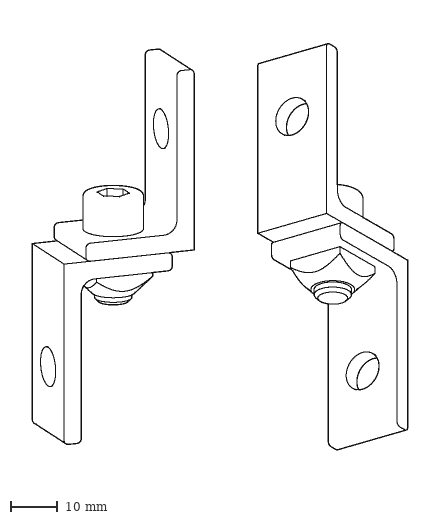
import cadquery as cq
import math

bracket_width = 18.0
bracket_height = 40.0
plate_thickness = 4.0
overall_depth = 30.0
foot_length = 25.0
inner_radius = 3.0
edge_radius = 1.0
leg_hole_diameter = 8.6
leg_hole_from_end = 15.0

shank_diameter = 8.0
shank_end_depth = 12.0
shank_chamfer = 0.8
head_diameter = 13.0
head_height = 8.0
head_edge_radius = 0.8
socket_across_flats = 6.0
socket_depth = 4.0
socket_cone_angle = 120.0

nut_across_flats = head_diameter
nut_height = 6.0
nut_end_diameter = 9.4
nut_bevel_angle = 45.0


def make_bracket():
    """Upper bracket: foot on Z = 0, leg rising along the +Y side."""
    back = overall_depth / 2
    leg_front = back - plate_thickness
    foot_end = back - foot_length
    profile = [
        (back, 0),
        (back, bracket_height),
        (leg_front, bracket_height),
        (leg_front, plate_thickness),
        (foot_end, plate_thickness),
        (foot_end, 0),
    ]
    body = (
        cq.Workplane("YZ")
        .polyline(profile)
        .close()
        .extrude(bracket_width / 2, both=True)
    )
    inner_corner = cq.selectors.NearestToPointSelector((0, leg_front, plate_thickness))
    body = body.edges(inner_corner).fillet(inner_radius)
    body = body.faces(">Z").edges("|X").fillet(edge_radius)
    body = body.faces("<Y").edges("|X").fillet(edge_radius)

    leg_hole = (
        cq.Workplane("XZ", origin=(0, back, bracket_height - leg_hole_from_end))
        .circle(leg_hole_diameter / 2)
        .extrude(plate_thickness)
    )
    bolt_hole = cq.Workplane("XY").circle(shank_diameter / 2).extrude(plate_thickness)
    return body.cut(leg_hole).cut(bolt_hole)


def make_bolt():
    """Cylinder head with a hexagon socket, and a plain chamfered shank."""
    head = (
        cq.Workplane("XY", origin=(0, 0, plate_thickness))
        .circle(head_diameter / 2)
        .extrude(head_height)
        .faces(">Z")
        .edges()
        .fillet(head_edge_radius)
    )
    shank = (
        cq.Workplane("XY", origin=(0, 0, -shank_end_depth))
        .circle(shank_diameter / 2)
        .extrude(shank_end_depth + plate_thickness)
        .faces("<Z")
        .edges()
        .chamfer(shank_chamfer)
    )
    return head.union(shank).cut(make_socket())


def make_socket():
    """Hexagonal recess, trimmed to a conical floor like a drill point."""
    across_corners = socket_across_flats / math.cos(math.radians(30))
    corner_radius = across_corners / 2
    cone_depth = corner_radius / math.tan(math.radians(socket_cone_angle / 2))
    head_top = plate_thickness + head_height
    wall_end = head_top - socket_depth
    tip = wall_end - cone_depth
    hexagon = (
        cq.Workplane("XY", origin=(0, 0, tip))
        .polygon(6, across_corners)
        .extrude(head_top - tip)
    )
    drill = (
        cq.Workplane("XZ")
        .polyline([(0, tip), (corner_radius, wall_end), (corner_radius, head_top), (0, head_top)])
        .close()
        .revolve(360, (0, 0, 0), (0, 1, 0))
    )
    return hexagon.intersect(drill)


def make_nut():
    """Square nut under the lower foot, its free end bevelled by a cone."""
    seat = -plate_thickness
    end = seat - nut_height
    end_radius = nut_end_diameter / 2
    seat_radius = end_radius + nut_height * math.tan(math.radians(nut_bevel_angle))
    cone = (
        cq.Workplane("XZ")
        .polyline([(0, end), (end_radius, end), (seat_radius, seat), (0, seat)])
        .close()
        .revolve(360, (0, 0, 0), (0, 1, 0))
    )
    block = (
        cq.Workplane("XY", origin=(0, 0, end))
        .rect(nut_across_flats, nut_across_flats)
        .extrude(nut_height)
    )
    bore = (
        cq.Workplane("XY", origin=(0, 0, end))
        .circle(shank_diameter / 2)
        .extrude(nut_height)
    )
    return block.intersect(cone).cut(bore)


brackets = [make_bracket().rotate((0, 0, 0), (1, 0, 0), turn) for turn in (0, 180)]
bolt = make_bolt()
nut = make_nut()

result = cq.Compound.makeCompound([*[bracket.val() for bracket in brackets], bolt.val(), nut.val()])